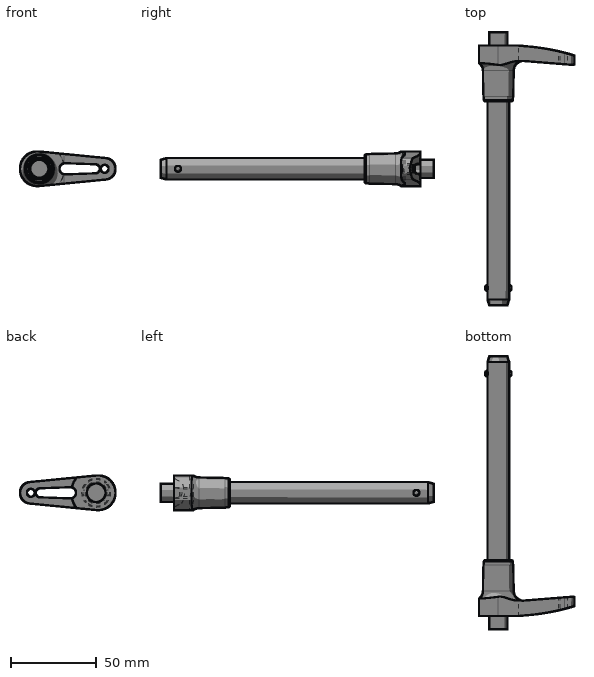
import cadquery as cq
import math

total_length = 159.0
eps = 0.2

shaft_radius = 6.4
tip_radius = 5.2
tip_length = 3.5
ball_radius = 1.7
ball_offset = 6.0
ball_y = 10.2

button_radius = 5.4
button_length = 7.8
head_top_y = total_length - button_length

collar_end_y = 118.6
collar_end_radius = 7.8
collar_rim_y = collar_end_y + 0.8
collar_rim_radius = 8.5
collar_low_y = collar_rim_y + 2.2
collar_low_radius = 8.7
collar_top_radius = 9.0
flare_radius = 5.4

head_x = -1.1
head_radius = 10.2
lever_end_x = 38.0
lever_end_radius = 6.4
lever_tip_x = lever_end_x + lever_end_radius
head_left_x = head_x - head_radius

bend_x = 6.4
top_curve_radius = 127.2
underside_y = 142.1
underside_slope_x = collar_top_radius + flare_radius
underside_tip_y = 139.8
flare_start_y = underside_y - flare_radius
tip_edge_fillet = 1.0

slot_head_x = 15.0
slot_head_radius = 3.2
slot_tip_x = 32.6
slot_tip_radius = 2.5
ring_hole_radius = 2.2


def tapered_outline(x_a, radius_a, x_b, radius_b, top_y, depth):
    """Solid between two tangent-joined circles, extruded from top_y towards -Y."""
    lean = math.asin((radius_a - radius_b) / (x_b - x_a))
    ax, az = x_a + radius_a * math.sin(lean), radius_a * math.cos(lean)
    bx, bz = x_b + radius_b * math.sin(lean), radius_b * math.cos(lean)
    return (
        cq.Workplane("XZ", origin=(0, top_y, 0))
        .moveTo(ax, az)
        .lineTo(bx, bz)
        .threePointArc((x_b + radius_b, 0), (bx, -bz))
        .lineTo(ax, -az)
        .threePointArc((x_a - radius_a, 0), (ax, az))
        .close()
        .extrude(depth)
    )


def make_pin():
    """Turned shaft, collar and push button."""
    return (
        cq.Workplane("XY")
        .polyline([
            (0, 0),
            (tip_radius, 0),
            (shaft_radius, tip_length),
            (shaft_radius, collar_end_y),
            (collar_end_radius, collar_end_y),
            (collar_rim_radius, collar_rim_y),
            (collar_low_radius, collar_low_y),
            (collar_top_radius, flare_start_y),
            (collar_top_radius, head_top_y),
            (button_radius, head_top_y),
            (button_radius, total_length),
            (0, total_length),
        ])
        .close()
        .revolve(360, (0, 0, 0), (0, 1, 0))
    )


def make_flare():
    """Concave flare that blends the collar into the underside of the head."""
    outer_radius = collar_top_radius + flare_radius
    diagonal = flare_radius * math.sqrt(0.5)
    arc_middle = (outer_radius - diagonal, flare_start_y + diagonal)
    return (
        cq.Workplane("XY")
        .moveTo(0, flare_start_y)
        .lineTo(collar_top_radius, flare_start_y)
        .threePointArc(arc_middle, (outer_radius, underside_y))
        .lineTo(outer_radius, head_top_y)
        .lineTo(0, head_top_y)
        .close()
        .revolve(360, (0, 0, 0), (0, 1, 0))
    )


def top_curve_y(x):
    """Height of the lever's curved top at x."""
    return head_top_y - top_curve_radius + math.sqrt(top_curve_radius**2 - (x - bend_x) ** 2)


def make_lever():
    """Head and lever: the thickness profile and flare, trimmed to the outline."""
    middle_x = (bend_x + lever_tip_x) / 2
    profile = (
        cq.Workplane("XY")
        .moveTo(head_left_x, head_top_y)
        .lineTo(bend_x, head_top_y)
        .threePointArc((middle_x, top_curve_y(middle_x)), (lever_tip_x, top_curve_y(lever_tip_x)))
        .lineTo(lever_tip_x, underside_tip_y)
        .lineTo(underside_slope_x, underside_y)
        .lineTo(head_left_x, underside_y)
        .close()
        .extrude(head_radius, both=True)
        .edges("|Z and >X")
        .fillet(tip_edge_fillet)
    )
    outline_depth = head_top_y - collar_end_y
    outline = tapered_outline(
        head_x, head_radius, lever_end_x, lever_end_radius, head_top_y, outline_depth
    )
    return profile.union(make_flare()).intersect(outline)


def make_openings():
    """Tapered finger slot and round ring hole, both through the lever."""
    top_y = head_top_y + eps
    depth = top_y - collar_end_y
    slot = tapered_outline(slot_head_x, slot_head_radius, slot_tip_x, slot_tip_radius, top_y, depth)
    ring_hole = (
        cq.Workplane("XZ", origin=(lever_end_x, top_y, 0)).circle(ring_hole_radius).extrude(depth)
    )
    return slot.union(ring_hole)


result = make_lever().cut(make_openings()).union(make_pin())
for side in (-1, 1):
    ball = cq.Workplane("XY").sphere(ball_radius).translate((side * ball_offset, ball_y, 0))
    result = result.union(ball)